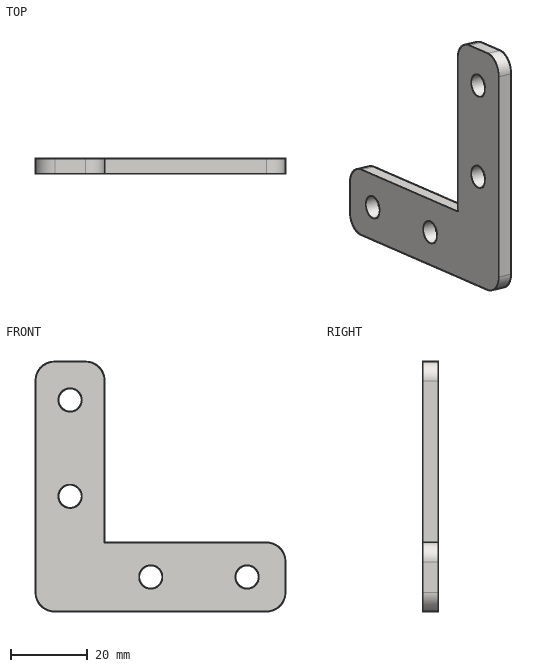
import cadquery as cq

arm_length = 65.0
arm_width = 18.0
thickness = 4.0
corner_radius = 5.0
hole_diameter = 6.0
end_to_hole = 10.0
hole_spacing = 25.0

arm_middle = arm_width / 2
outer_hole = arm_length - end_to_hole
inner_hole = outer_hole - hole_spacing


def arm(length_x, length_z):
    """Rectangular plate from the outer corner, occupying Y = 0 to thickness."""
    return cq.Workplane("XY").box(length_x, thickness, length_z, centered=False)


plate = arm(arm_length, arm_width).union(arm(arm_width, arm_length))
inner_corner = cq.selectors.NearestToPointSelector((arm_width, thickness / 2, arm_width))
outer_corners = cq.selectors.SubtractSelector(cq.StringSyntaxSelector("|Y"), inner_corner)
plate = plate.edges(outer_corners).fillet(corner_radius)

hole_centres = []
for distance in (inner_hole, outer_hole):
    hole_centres.append((distance, arm_middle))
    hole_centres.append((arm_middle, distance))
drills = cq.Workplane("XZ").pushPoints(hole_centres).circle(hole_diameter / 2).extrude(-thickness)

result = plate.cut(drills)